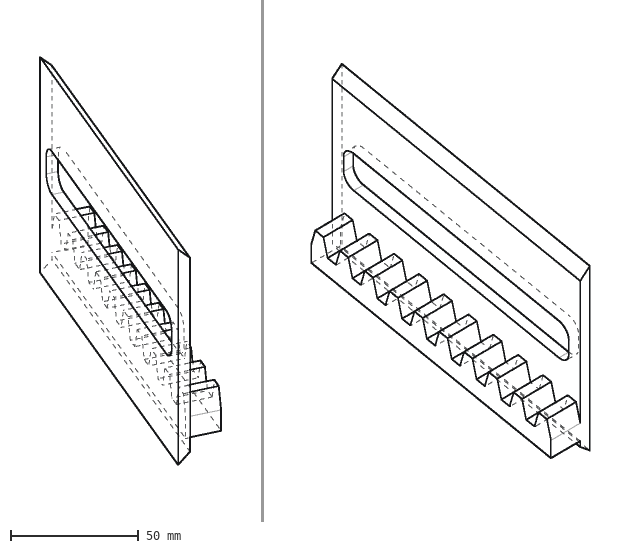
import cadquery as cq

plate_length = 150.0
plate_height = 100.0
plate_thickness = plate_length / 30
bevel = plate_thickness

window_length = 136.0
window_height = 20.0
window_center_x = plate_length / 2
window_center_z = 54.0
window_radius = 6.0

rack_depth = 15.0
rack_bottom = 8.2
rack_base_height = 9.9
tooth_height = 9.5
tooth_count = 10
tooth_pitch = plate_length / tooth_count
tooth_land = tooth_pitch / 3
flank_run = tooth_pitch / 6


def make_plate():
    """Plate with its top and bottom edges bevelled towards the back."""
    profile = [
        (0, 0),
        (plate_thickness, bevel),
        (plate_thickness, plate_height - bevel),
        (0, plate_height),
    ]
    return cq.Workplane("YZ").polyline(profile).close().extrude(plate_length)


def make_window():
    """Cutter for the rounded window, running through the plate along Y."""
    return (
        cq.Workplane("XY")
        .box(window_length, plate_thickness, window_height)
        .edges("|Y")
        .fillet(window_radius)
        .translate((window_center_x, plate_thickness / 2, window_center_z))
    )


def make_rack():
    """Straight rack with trapezoidal teeth pointing up, ending at the last flank."""
    root_z = rack_bottom + rack_base_height
    tip_z = root_z + tooth_height
    outline = [(0, rack_bottom)]
    for tooth in range(tooth_count):
        start_x = tooth * tooth_pitch
        outline += [
            (start_x, root_z),
            (start_x + flank_run, tip_z),
            (start_x + flank_run + tooth_land, tip_z),
            (start_x + 2 * flank_run + tooth_land, root_z),
        ]
    rack_length = tooth_count * tooth_pitch - tooth_land
    outline.append((rack_length, rack_bottom))
    return (
        cq.Workplane("XZ", origin=(0, plate_thickness, 0))
        .polyline(outline)
        .close()
        .extrude(-rack_depth)
    )


result = make_plate().cut(make_window()).union(make_rack())